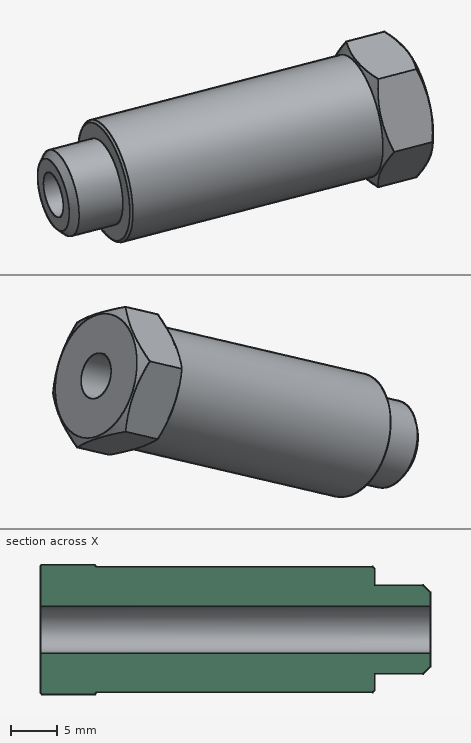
import cadquery as cq
import math

total_length = 42.0
across_flats = 14.0
head_length = 6.0
nose_length = 6.0
body_diameter = 13.6
body_edge_chamfer = 0.25
nose_diameter = 9.6
nose_chamfer = 0.8
bore_diameter = 5.0
head_cone_angle = 30.0
head_face_diameter = 13.6

across_corners = across_flats / math.cos(math.radians(30))
shoulder_y = nose_length
head_y = total_length - head_length


def cylinder_along_y(diameter, start_y, length):
    """Solid cylinder on the part's axis, running toward +Y."""
    plane = cq.Plane(origin=(0, start_y, 0), xDir=(1, 0, 0), normal=(0, 1, 0))
    return cq.Workplane(plane).circle(diameter / 2).extrude(length)


def hex_head():
    """Hexagon with corners on X, trimmed by a cone at both ends."""
    plane = cq.Plane(origin=(0, head_y, 0), xDir=(1, 0, 0), normal=(0, 1, 0))
    prism = cq.Workplane(plane).polygon(6, across_corners).extrude(head_length)

    face_radius = head_face_diameter / 2
    corner_radius = across_corners / 2
    chamfer_height = (corner_radius - face_radius) * math.tan(math.radians(head_cone_angle))
    trim = (
        cq.Workplane("XY")
        .moveTo(0, head_y)
        .lineTo(face_radius, head_y)
        .lineTo(corner_radius, head_y + chamfer_height)
        .lineTo(corner_radius, total_length - chamfer_height)
        .lineTo(face_radius, total_length)
        .lineTo(0, total_length)
        .close()
        .revolve(360, (0, 0, 0), (0, 1, 0))
    )
    return prism.intersect(trim)


body = cylinder_along_y(body_diameter, shoulder_y, head_y - shoulder_y)
body = body.faces("<Y").chamfer(body_edge_chamfer)

nose = cylinder_along_y(nose_diameter, 0, nose_length)
nose = nose.faces("<Y").chamfer(nose_chamfer)

bore = cylinder_along_y(bore_diameter, 0, total_length)

result = hex_head().union(body).union(nose).cut(bore)